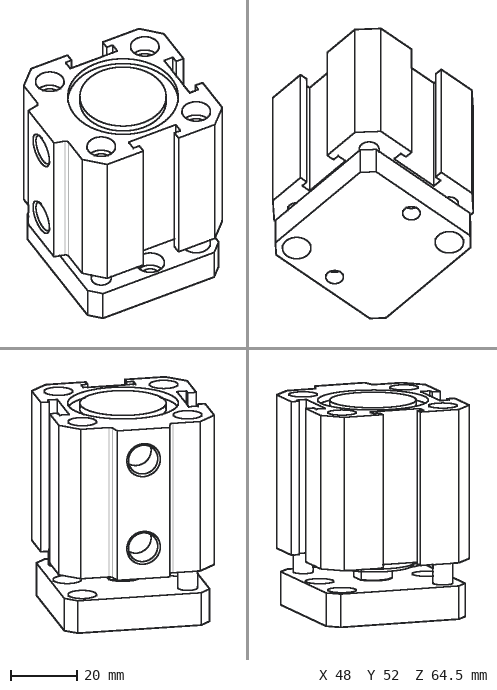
import cadquery as cq

TOTAL_HEIGHT = 64.5
BODY_WIDTH = 48.0
BODY_DEPTH = 52.0
CORNER_PITCH = 32.5
HOUSING_BOTTOM = 17.55
HOUSING_HEIGHT = TOTAL_HEIGHT - HOUSING_BOTTOM
HALF_BODY = BODY_WIDTH / 2
HALF_PITCH = CORNER_PITCH / 2

CORNER_CHAMFER = 5.55
BOSS_FACE_WIDTH = 16.1
BOSS_BASE_WIDTH = 18.2
BOSS_ROOT_RADIUS = 0.95
BOSS_FACE_Y = HALF_BODY - BODY_DEPTH

SLOT_MOUTH_WIDTH = 12.0
SLOT_INNER_WIDTH = 16.1
SLOT_LIP_THICKNESS = 2.6
SLOT_DEPTH = 5.55

MOUNT_HOLE_DIAMETER = 5.5
MOUNT_BORE_DIAMETER = 8.6
MOUNT_BORE_DEPTH = 5.5

RECESS_DIAMETER = 33.3
RECESS_DEPTH = 2.0
CAP_DIAMETER = 26.0
GLAND_DIAMETER = 26.0
GLAND_BOTTOM = 14.05
GLAND_CHAMFER = 1.0

PORT_DIAMETER = 9.0
PORT_CHAMFER = 0.65
PORT_DEPTH = 9.7
PORT_HEIGHTS = (27.2, 54.75)

PLATE_WIDTH = 44.9
PLATE_THICKNESS = 10.2
PLATE_CHAMFER = 3.4
ACCESS_HOLE_DIAMETER = MOUNT_BORE_DIAMETER
SIDE_HOLE_SPACING = 34.45
SIDE_HOLE_DIAMETER = 5.3
SIDE_BORE_DIAMETER = 8.5
SIDE_BORE_DEPTH = 5.0

GUIDE_ROD_DIAMETER = 6.0
PISTON_ROD_DIAMETER = 12.0
ROD_ENGAGEMENT = 12.9
ROD_TOP = HOUSING_BOTTOM + ROD_ENGAGEMENT
ROD_END_CHAMFER = 0.25
FLAT_WIDTH = 10.0
FLAT_TOP = 13.15

ROD_CORNERS = [(-HALF_PITCH, HALF_PITCH), (HALF_PITCH, -HALF_PITCH)]
OPEN_CORNERS = [(-HALF_PITCH, -HALF_PITCH), (HALF_PITCH, HALF_PITCH)]


def cylinders(diameter, bottom, top, centers=((0, 0),)):
    """Vertical cylinders of one diameter between two heights."""
    return (
        cq.Workplane("XY", origin=(0, 0, bottom))
        .pushPoints(centers)
        .circle(diameter / 2)
        .extrude(top - bottom)
    )


def chamfered_block(width, chamfer, bottom, height):
    """Square block with chamfered vertical corners."""
    return (
        cq.Workplane("XY", origin=(0, 0, bottom))
        .rect(width, width)
        .extrude(height)
        .edges("|Z")
        .chamfer(chamfer)
    )


def port_boss():
    """Tapered rib that carries the ports on the -Y face."""
    return (
        cq.Workplane("XY", origin=(0, 0, HOUSING_BOTTOM))
        .moveTo(-BOSS_BASE_WIDTH / 2, -HALF_BODY)
        .lineTo(-BOSS_FACE_WIDTH / 2, BOSS_FACE_Y)
        .lineTo(BOSS_FACE_WIDTH / 2, BOSS_FACE_Y)
        .lineTo(BOSS_BASE_WIDTH / 2, -HALF_BODY)
        .close()
        .extrude(HOUSING_HEIGHT)
    )


def t_slot(angle):
    """Full-height T-slot in the +Y face, turned about Z by the given angle."""
    lip_y = HALF_BODY - SLOT_LIP_THICKNESS
    floor_y = HALF_BODY - SLOT_DEPTH
    half_mouth = SLOT_MOUTH_WIDTH / 2
    half_inner = SLOT_INNER_WIDTH / 2
    slot = (
        cq.Workplane("XY", origin=(0, 0, HOUSING_BOTTOM))
        .moveTo(-half_mouth, HALF_BODY)
        .lineTo(-half_mouth, lip_y)
        .lineTo(-half_inner, lip_y)
        .lineTo(-half_inner, floor_y)
        .lineTo(half_inner, floor_y)
        .lineTo(half_inner, lip_y)
        .lineTo(half_mouth, lip_y)
        .lineTo(half_mouth, HALF_BODY)
        .close()
        .extrude(HOUSING_HEIGHT)
    )
    return slot.rotate((0, 0, 0), (0, 0, 1), angle)


def port(height):
    """Blind port with a chamfered mouth, drilled along +Y into the boss."""
    hole = (
        cq.Workplane("XZ", origin=(0, BOSS_FACE_Y, height))
        .circle(PORT_DIAMETER / 2)
        .extrude(-PORT_DEPTH)
    )
    mouth = cq.Solid.makeCone(
        PORT_DIAMETER / 2 + PORT_CHAMFER,
        PORT_DIAMETER / 2,
        PORT_CHAMFER,
        pnt=cq.Vector(0, BOSS_FACE_Y, height),
        dir=cq.Vector(0, 1, 0),
    )
    return hole.union(mouth)


def piston_rod():
    """Piston rod with a chamfered end and two wrench flats just above the guide plate."""
    rod_end = cylinders(PISTON_ROD_DIAMETER, PLATE_THICKNESS, FLAT_TOP)
    rod_end = rod_end.faces("<Z").chamfer(ROD_END_CHAMFER)
    flats = (
        cq.Workplane("XY", origin=(0, 0, PLATE_THICKNESS))
        .rect(FLAT_WIDTH, PISTON_ROD_DIAMETER)
        .extrude(FLAT_TOP - PLATE_THICKNESS)
    )
    return rod_end.intersect(flats).union(cylinders(PISTON_ROD_DIAMETER, FLAT_TOP, ROD_TOP))


def make_housing():
    housing = chamfered_block(BODY_WIDTH, CORNER_CHAMFER, HOUSING_BOTTOM, HOUSING_HEIGHT)
    housing = housing.union(port_boss())
    for side in (-1, 1):
        root = cq.selectors.NearestToPointSelector(
            (side * BOSS_BASE_WIDTH / 2, -HALF_BODY, HOUSING_BOTTOM + HOUSING_HEIGHT / 2)
        )
        housing = housing.edges("|Z").edges(root).fillet(BOSS_ROOT_RADIUS)

    for angle in (-90, 0, 90):
        housing = housing.cut(t_slot(angle))

    housing = housing.cut(cylinders(RECESS_DIAMETER, TOTAL_HEIGHT - RECESS_DEPTH, TOTAL_HEIGHT))
    housing = housing.union(cylinders(CAP_DIAMETER, TOTAL_HEIGHT - RECESS_DEPTH, TOTAL_HEIGHT))
    gland = cylinders(GLAND_DIAMETER, GLAND_BOTTOM, HOUSING_BOTTOM)
    housing = housing.union(gland.faces("<Z").chamfer(GLAND_CHAMFER))

    corners = ROD_CORNERS + OPEN_CORNERS
    bore_floor = TOTAL_HEIGHT - MOUNT_BORE_DEPTH
    housing = housing.cut(cylinders(MOUNT_HOLE_DIAMETER, HOUSING_BOTTOM, TOTAL_HEIGHT, corners))
    housing = housing.cut(cylinders(MOUNT_BORE_DIAMETER, bore_floor, TOTAL_HEIGHT, corners))
    housing = housing.cut(cylinders(GUIDE_ROD_DIAMETER, HOUSING_BOTTOM, ROD_TOP, ROD_CORNERS))
    housing = housing.cut(cylinders(PISTON_ROD_DIAMETER, GLAND_BOTTOM, ROD_TOP))

    for height in PORT_HEIGHTS:
        housing = housing.cut(port(height))
    return housing


def make_guide_plate():
    plate = chamfered_block(PLATE_WIDTH, PLATE_CHAMFER, 0, PLATE_THICKNESS)
    plate = plate.cut(cylinders(ACCESS_HOLE_DIAMETER, 0, PLATE_THICKNESS, OPEN_CORNERS))

    side_centers = [(-SIDE_HOLE_SPACING / 2, 0), (SIDE_HOLE_SPACING / 2, 0)]
    bore_floor = PLATE_THICKNESS - SIDE_BORE_DEPTH
    plate = plate.cut(cylinders(SIDE_HOLE_DIAMETER, 0, PLATE_THICKNESS, side_centers))
    plate = plate.cut(cylinders(SIDE_BORE_DIAMETER, bore_floor, PLATE_THICKNESS, side_centers))

    plate = plate.union(cylinders(GUIDE_ROD_DIAMETER, PLATE_THICKNESS, ROD_TOP, ROD_CORNERS))
    return plate.union(piston_rod())


housing = make_housing()
guide_plate = make_guide_plate()
result = cq.Compound.makeCompound([*housing.solids().vals(), *guide_plate.solids().vals()])